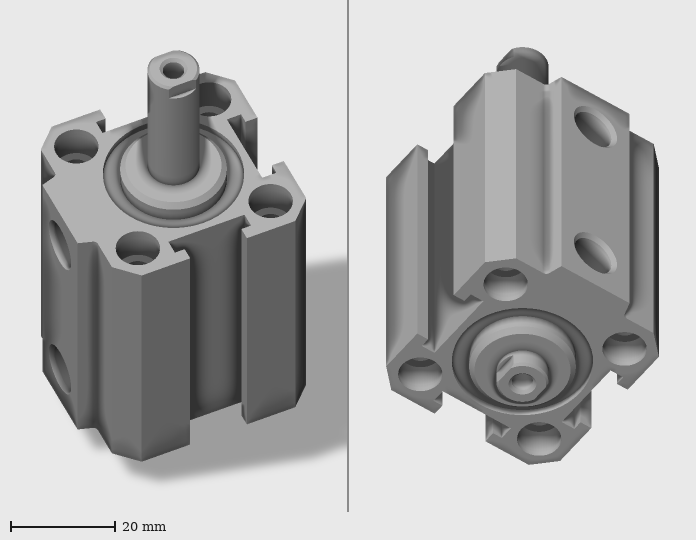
import cadquery as cq
import math


BODY_HEIGHT = 55.5
BODY_WIDTH = 41.0
HALF_WIDTH = BODY_WIDTH / 2
CORNER_CHAMFER = 4.3

SLOT_OPENING = 12.0
SLOT_INNER_WIDTH = 16.1
SLOT_LIP = 2.5
SLOT_DEPTH = 5.5

PAD_FACE_WIDTH = SLOT_INNER_WIDTH
PAD_HEIGHT = 3.5
PAD_DRAFT = 17.0
PAD_ROOT_RADIUS = 0.9

PORT_DIAMETER = 8.6
PORT_MOUTH_DIAMETER = 10.2
PORT_DEPTH = 10.0
PORT_INSET = 9.3

BOLT_SPACING = 28.05
BOLT_DIAMETER = 5.3
COUNTERBORE_DIAMETER = 8.5
COUNTERBORE_DEPTH = 7.0

RECESS_DIAMETER = 27.1
RECESS_DEPTH = 1.5
COLLAR_DIAMETER = 20.5
COLLAR_PROJECTION = 2.5
COLLAR_CHAMFER = 1.0

ROD_DIAMETER = 10.0
ROD_LENGTH = 93.5
ROD_LOWER_PROJECTION = 6.5
ROD_CHAMFER = 0.5
FLAT_SPACING = 8.2
FLAT_LENGTH = 3.0
TAP_DIAMETER = 4.1
TAP_MOUTH_DIAMETER = 5.3
TAP_DEPTH = 10.0


def centred_cylinder(diameter, bottom, height):
    """Upright cylinder on the rod axis."""
    return cq.Workplane("XY", origin=(0, 0, bottom)).circle(diameter / 2).extrude(height)


def countersunk_hole(plane, diameter, mouth_diameter, depth):
    """Cutter for a blind hole that runs along the plane's normal, with a 45 degree mouth."""
    mouth_depth = (mouth_diameter - diameter) / 2
    hole = cq.Workplane(plane).circle(diameter / 2).extrude(depth)
    mouth = cq.Workplane(plane).circle(mouth_diameter / 2).extrude(mouth_depth, taper=45)
    return hole.union(mouth)


def t_slot(angle):
    """Cutter for the T-slot of the back face, turned about Z by the angle."""
    lip = cq.Workplane("XY").box(SLOT_OPENING, SLOT_DEPTH, BODY_HEIGHT, centered=(True, False, False))
    inner_depth = SLOT_DEPTH - SLOT_LIP
    inner = cq.Workplane("XY").box(SLOT_INNER_WIDTH, inner_depth, BODY_HEIGHT, centered=(True, False, False))
    slot = lip.union(inner).translate((0, HALF_WIDTH - SLOT_DEPTH, 0))
    return slot.rotate((0, 0, 0), (0, 0, 1), angle)


def port_pad():
    """Tapered pad on the front face, joined to it by concave root arcs."""
    draft = math.radians(PAD_DRAFT)
    face_x = PAD_FACE_WIDTH / 2
    corner_x = face_x + PAD_HEIGHT * math.tan(draft)
    turn = math.pi / 2 - draft
    tangent = PAD_ROOT_RADIUS * math.tan(turn / 2)
    arc_start_x = corner_x + tangent
    arc_end_x = corner_x - tangent * math.sin(draft)
    arc_end_y = tangent * math.cos(draft)
    arc_mid_x = arc_start_x - PAD_ROOT_RADIUS * math.sin(turn / 2)
    arc_mid_y = PAD_ROOT_RADIUS * (1 - math.cos(turn / 2))
    overlap = 0.9
    return (
        cq.Workplane("XY", origin=(0, -HALF_WIDTH, 0))
        .moveTo(-arc_start_x, overlap)
        .lineTo(-arc_start_x, 0)
        .threePointArc((-arc_mid_x, -arc_mid_y), (-arc_end_x, -arc_end_y))
        .lineTo(-face_x, -PAD_HEIGHT)
        .lineTo(face_x, -PAD_HEIGHT)
        .lineTo(arc_end_x, -arc_end_y)
        .threePointArc((arc_mid_x, -arc_mid_y), (arc_start_x, 0))
        .lineTo(arc_start_x, overlap)
        .close()
        .extrude(BODY_HEIGHT)
    )


def bolt_holes():
    """Cutters for four through holes, counterbored at both ends."""
    points = cq.Workplane("XY").rect(BOLT_SPACING, BOLT_SPACING, forConstruction=True).vertices()
    through = points.circle(BOLT_DIAMETER / 2).extrude(BODY_HEIGHT)
    lower = points.circle(COUNTERBORE_DIAMETER / 2).extrude(COUNTERBORE_DEPTH)
    upper = lower.translate((0, 0, BODY_HEIGHT - COUNTERBORE_DEPTH))
    return through.union(lower).union(upper)


def make_housing():
    housing = cq.Workplane("XY").box(BODY_WIDTH, BODY_WIDTH, BODY_HEIGHT, centered=(True, True, False))
    housing = housing.edges("|Z").chamfer(CORNER_CHAMFER)
    housing = housing.union(port_pad())
    for angle in (0, 90, -90):
        housing = housing.cut(t_slot(angle))
    housing = housing.cut(bolt_holes())

    for port_z in (PORT_INSET, BODY_HEIGHT - PORT_INSET):
        mouth = cq.Plane(origin=(0, -HALF_WIDTH - PAD_HEIGHT, port_z), xDir=(1, 0, 0), normal=(0, 1, 0))
        housing = housing.cut(countersunk_hole(mouth, PORT_DIAMETER, PORT_MOUTH_DIAMETER, PORT_DEPTH))

    for recess_bottom in (0, BODY_HEIGHT - RECESS_DEPTH):
        housing = housing.cut(centred_cylinder(RECESS_DIAMETER, recess_bottom, RECESS_DEPTH))

    collar_length = BODY_HEIGHT + 2 * COLLAR_PROJECTION
    collars = centred_cylinder(COLLAR_DIAMETER, -COLLAR_PROJECTION, collar_length)
    housing = housing.union(collars.faces("<Z or >Z").chamfer(COLLAR_CHAMFER))
    return housing.cut(centred_cylinder(ROD_DIAMETER, -COLLAR_PROJECTION, collar_length))


def make_rod():
    rod_bottom = -ROD_LOWER_PROJECTION
    rod_top = rod_bottom + ROD_LENGTH
    rod = centred_cylinder(ROD_DIAMETER, rod_bottom, ROD_LENGTH).faces("<Z or >Z").chamfer(ROD_CHAMFER)

    for flat_bottom in (rod_bottom, rod_top - FLAT_LENGTH):
        blank = centred_cylinder(2 * ROD_DIAMETER, flat_bottom, FLAT_LENGTH)
        core = blank.intersect(cq.Workplane("XY").box(FLAT_SPACING, 2 * ROD_DIAMETER, 2 * ROD_LENGTH))
        rod = rod.cut(blank.cut(core))

    lower_mouth = cq.Plane(origin=(0, 0, rod_bottom), xDir=(1, 0, 0), normal=(0, 0, 1))
    upper_mouth = cq.Plane(origin=(0, 0, rod_top), xDir=(1, 0, 0), normal=(0, 0, -1))
    for mouth in (lower_mouth, upper_mouth):
        rod = rod.cut(countersunk_hole(mouth, TAP_DIAMETER, TAP_MOUTH_DIAMETER, TAP_DEPTH))
    return rod


housing = make_housing()
rod = make_rod()
result = cq.Compound.makeCompound([housing.val(), rod.val()])